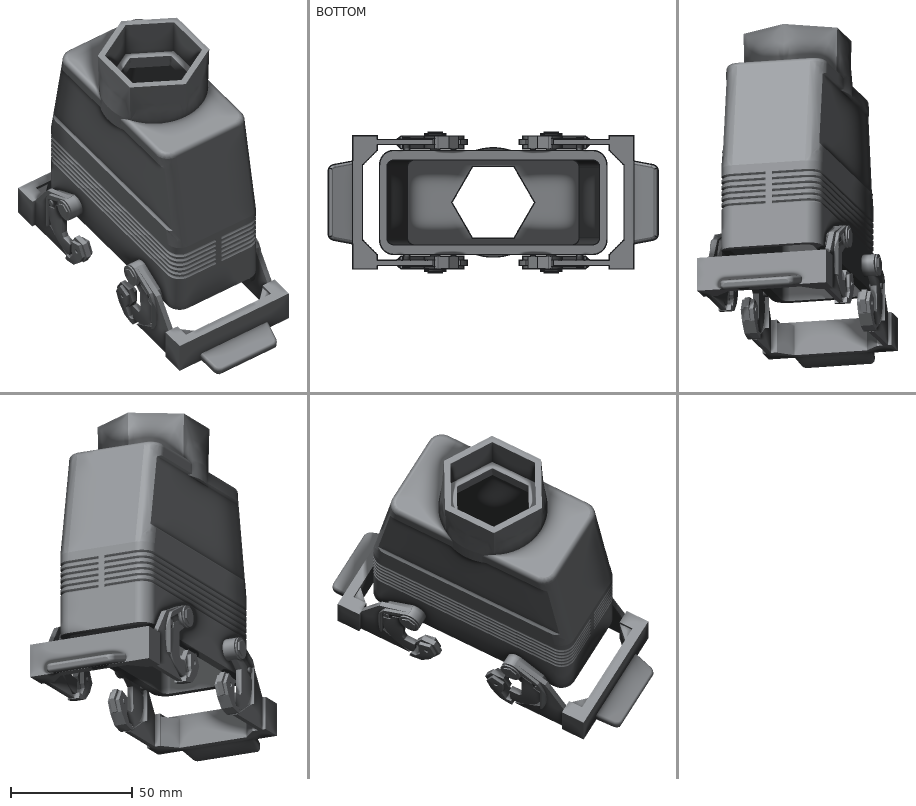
import math

import cadquery as cq


HOOD_LENGTH = 93.8
HOOD_TOP_LENGTH = 76.8
HOOD_WIDTH = 43.0
HOOD_CORNER_R = 6.0
TAPER_START_Z = 35.0
HOOD_TOP_Z = 81.2
HOOD_TOP_FILLET = 2.2
WALL = 3.0

PANEL_DEPTH = 1.0
PANEL_BOTTOM_Z = 43.3
PANEL_TOP_Z = 74.1

GROOVE_COUNT = 6
GROOVE_PITCH = 2.5
GROOVE_WIDTH = 1.45
GROOVE_DEPTH = 0.7
FIRST_GROOVE_Z = 18.1
GROOVE_GAP = 2.8

ENTRY_TOP_Z = 100.2
ENTRY_HEX_FLATS = 40.0
ENTRY_BASE_R = 22.6
SOCKET_FLATS = 34.8
SOCKET_DEPTH = 16.4
PASSAGE_FLATS = 29.5

BOW_OUTER_X = 58.0
BOW_INNER_X = 47.8
BOW_HALF_WIDTH = 27.5
BOW_ARM = 6.1
BOW_WEB = 4.1
BOW_TOP_Z = -6.5
LEVER_BOTTOM_Z = -20.5
GUSSET = 6.0
GUSSET_DROP = 1.3

GRIP_TIP_X = 68.12
GRIP_BOTTOM_Z = -22.85
GRIP_TILT = math.radians(16)
GRIP_THICKNESS = 3.6
GRIP_EDGE_R = 1.2
GRIP_ROOT_HALF_WIDTH = 17.1
GRIP_TIP_HALF_WIDTH = 15.2
GRIP_CORNER_R = 3.0

PLATE_Y = (23.8, 26.0)
HOOK_Y = (22.1, 27.4)
HOOK_BODY_Y = (PLATE_Y[0], 26.4)
PLATE_LAP = 1.0
PLATE_OUTLINE = [
    (-BOW_INNER_X - PLATE_LAP, LEVER_BOTTOM_Z),
    (-BOW_INNER_X - PLATE_LAP, BOW_TOP_Z),
    (-BOW_INNER_X, BOW_TOP_Z),
    (-40.5, 4.1),
    (-39.0, 6.0),
    (-35.0, 7.6),
    (-25.0, 12.1),
    (-23.9, 7.6),
    (-33.2, -0.1),
    (-37.9, -1.0),
    (-37.9, -12.4),
    (-24.9, LEVER_BOTTOM_Z),
]
RIM_OUTER_END = (-36.3, 6.2)
RIM_OUTER_MID = (-39.7, -2.5)
RIM_OUTER_START = (-38.5, -12.0)
RIM_LOWER_TIP = (-37.5, -12.6)
RIM_INNER_CORNER = (-37.5, 3.2)
RIM_CREST_X = -39.8
RIM_FACE_X = -38.0
RIM_ROOF_TOP = (-25.2, 12.0)
RIM_ROOF_BOTTOM = (-27.5, 8.8)

HOOK_THROAT = [
    (-23.5, 3.0),
    (-28.0, -0.1),
    (-28.2, -9.8),
    (-27.1, -11.6),
    (-22.4, -11.8),
    (-22.9, -18.3),
]
HOOK_BACK_MID = (-34.1, -13.4)
HOOK_BACK_TOP = (-37.4, -1.9)
HOOK_RIVET_POCKET = [(-33.7, -0.1), (-32.8, 2.7), (-28.2, 4.7)]

TAIL_OUTLINE = [
    (-23.6, -18.0),
    (-21.3, -18.2),
    (-19.1, -14.7),
    (-19.8, -12.9),
    (-19.8, -7.6),
    (-14.7, -5.9),
    (-12.1, -10.7),
    (-14.3, -15.3),
    (-18.3, -19.5),
    (-22.7, LEVER_BOTTOM_Z),
    (-24.2, LEVER_BOTTOM_Z),
]

PIVOT = (-23.9, 7.5)
PIVOT_BOSS_R = 4.6
PIVOT_NECK_R = 2.6
PIVOT_HEAD_R = 4.5
PIVOT_HEAD_HEX = 6.8
PIVOT_HEAD_Y = (27.9, 28.5)
PIVOT_END_Y = 29.0
PIVOT_PIN_R = 2.0
RIVET = (-35.7, 1.6)
RIVET_R = 1.3
ROLLER = (-16.4, -10.3)
ROLLER_ACROSS_CORNERS = 11.4
ROLLER_PIN_DIAMETER = 2.0
ROLLER_PIN_RECESS = 0.5
PIN_STANDOUT = 0.4
PIN_EMBED = 0.5

TRIM_REACH = 60.0


def slab(outline, y_range):
    """Extrude an outline drawn in X and Z between two y values."""
    return outline.extrude(y_range[0] - y_range[1]).translate((0, y_range[0], 0))


def xz(point=(0, 0)):
    """Sketch plane in X and Z with its origin at the given point."""
    return cq.Workplane("XZ").center(*point)


def disc(point, radius, y_range):
    return slab(xz(point).circle(radius), y_range)


def across_corners(across_flats):
    return across_flats / math.cos(math.pi / 6)


def hex_prism(across_flats, bottom_z, top_z):
    outline = cq.Workplane().workplane(offset=bottom_z).polygon(6, across_corners(across_flats))
    return outline.extrude(top_z - bottom_z)


def rounded_rect(z, length, width, radius):
    outline = cq.Sketch().rect(length, width).vertices().fillet(radius)
    return outline.moved(cq.Location(cq.Vector(0, 0, z)))


def ruled_loft(*sections):
    """Ruled solid through (z, length, width, corner radius) rectangles."""
    sketches = [rounded_rect(*section) for section in sections]
    return cq.Workplane().placeSketch(*sketches).loft(ruled=True)


def hood_shell():
    body = ruled_loft(
        (0, HOOD_LENGTH, HOOD_WIDTH, HOOD_CORNER_R),
        (TAPER_START_Z, HOOD_LENGTH, HOOD_WIDTH, HOOD_CORNER_R),
        (HOOD_TOP_Z, HOOD_TOP_LENGTH, HOOD_WIDTH, HOOD_CORNER_R),
    )
    return body.faces(">Z").edges().fillet(HOOD_TOP_FILLET)


def hood_cavity():
    inner_width = HOOD_WIDTH - 2 * (WALL + PANEL_DEPTH)
    inner_r = HOOD_CORNER_R - WALL
    return ruled_loft(
        (0, HOOD_LENGTH - 2 * WALL, inner_width, inner_r),
        (TAPER_START_Z, HOOD_LENGTH - 2 * WALL, inner_width, inner_r),
        (HOOD_TOP_Z - WALL, HOOD_TOP_LENGTH - 2 * WALL, inner_width, inner_r),
    )


def side_panel():
    """Cutter for the recess on the -Y side; both of its ledges slope at 45 degrees."""
    outer_y = -HOOD_WIDTH / 2
    floor_y = outer_y + PANEL_DEPTH
    outline = [
        (floor_y, PANEL_BOTTOM_Z),
        (outer_y, PANEL_BOTTOM_Z - PANEL_DEPTH),
        (outer_y, PANEL_TOP_Z + PANEL_DEPTH),
        (floor_y, PANEL_TOP_Z),
    ]
    return cq.Workplane("YZ").polyline(outline).close().extrude(HOOD_LENGTH / 2, both=True)


def grip_groove(middle_z):
    """V-groove cutter around the hood, interrupted in the middle of each end."""
    low_z = middle_z - GROOVE_WIDTH / 2
    high_z = middle_z + GROOVE_WIDTH / 2
    surface = (HOOD_LENGTH, HOOD_WIDTH, HOOD_CORNER_R)
    root = (HOOD_LENGTH - 2 * GROOVE_DEPTH, HOOD_WIDTH - 2 * GROOVE_DEPTH, HOOD_CORNER_R - GROOVE_DEPTH)
    kept_core = ruled_loft((low_z, *surface), (middle_z, *root), (high_z, *surface))
    gap = cq.Workplane().box(HOOD_LENGTH, GROOVE_GAP, GROOVE_WIDTH).translate((0, 0, middle_z))
    band = ruled_loft((low_z, *surface), (high_z, *surface))
    return band.cut(kept_core).cut(gap)


def cable_entry():
    """Hexagonal collar blending into a round foot, which runs down to the side panels."""
    collar = (
        cq.Workplane()
        .workplane(offset=HOOD_TOP_Z)
        .circle(ENTRY_BASE_R)
        .workplane(offset=ENTRY_TOP_Z - HOOD_TOP_Z)
        .polygon(6, across_corners(ENTRY_HEX_FLATS))
        .loft(ruled=True)
    )
    foot = cq.Workplane().workplane(offset=PANEL_TOP_Z).circle(ENTRY_BASE_R).extrude(HOOD_TOP_Z - PANEL_TOP_Z)
    return collar.union(foot)


def make_hood():
    hood = hood_shell()
    panel = side_panel()
    hood = hood.cut(panel).cut(panel.mirror("XZ"))
    for index in range(GROOVE_COUNT):
        hood = hood.cut(grip_groove(FIRST_GROOVE_Z + index * GROOVE_PITCH))
    hood = hood.union(cable_entry()).cut(hood_cavity())
    socket = hex_prism(SOCKET_FLATS, ENTRY_TOP_Z - SOCKET_DEPTH, ENTRY_TOP_Z)
    passage = hex_prism(PASSAGE_FLATS, HOOD_TOP_Z - 2 * WALL, ENTRY_TOP_Z)
    return hood.cut(socket).cut(passage)


def lever_bow():
    """U-shaped bow on the -X side with a gusset in each inner corner."""
    web_x = -BOW_OUTER_X + BOW_WEB
    arm_y = BOW_HALF_WIDTH - BOW_ARM
    outline = [
        (-BOW_INNER_X, BOW_HALF_WIDTH),
        (-BOW_OUTER_X, BOW_HALF_WIDTH),
        (-BOW_OUTER_X, -BOW_HALF_WIDTH),
        (-BOW_INNER_X, -BOW_HALF_WIDTH),
        (-BOW_INNER_X, -arm_y),
        (web_x, -arm_y),
        (web_x, arm_y),
        (-BOW_INNER_X, arm_y),
    ]
    base = cq.Workplane().workplane(offset=LEVER_BOTTOM_Z)
    bow = base.polyline(outline).close().extrude(BOW_TOP_Z - LEVER_BOTTOM_Z)
    corner = [(web_x, arm_y), (web_x + GUSSET, arm_y), (web_x, arm_y - GUSSET)]
    gusset = base.polyline(corner).close().extrude(BOW_TOP_Z - GUSSET_DROP - LEVER_BOTTOM_Z)
    return bow.union(gusset).union(gusset.mirror("XZ"))


def lever_grip():
    """Tilted finger grip; the rounded tip edges touch x = -GRIP_TIP_X and z = GRIP_BOTTOM_Z."""
    along = (-math.cos(GRIP_TILT), -math.sin(GRIP_TILT))
    down = (math.sin(GRIP_TILT), -math.cos(GRIP_TILT))
    core = GRIP_THICKNESS - 2 * GRIP_EDGE_R
    lower_centre_z = GRIP_BOTTOM_Z + GRIP_EDGE_R
    upper_centre = (-GRIP_TIP_X + GRIP_EDGE_R, lower_centre_z - core * down[1])
    tip_top = tuple(c + GRIP_EDGE_R * (a - d) for c, a, d in zip(upper_centre, along, down))
    tip_bottom = tuple(t + GRIP_THICKNESS * d for t, d in zip(tip_top, down))
    root_x = -BOW_OUTER_X + BOW_WEB / 2
    root_top = (root_x, tip_top[1] + (root_x - tip_top[0]) * math.tan(GRIP_TILT))
    root_bottom = (root_x, tip_bottom[1] + (root_x - tip_bottom[0]) * math.tan(GRIP_TILT))
    profile = xz().polyline([root_top, tip_top, tip_bottom, root_bottom]).close()
    blade = profile.extrude(GRIP_ROOT_HALF_WIDTH, both=True)
    plan_outline = [
        (-BOW_INNER_X, GRIP_ROOT_HALF_WIDTH),
        (-BOW_OUTER_X, GRIP_ROOT_HALF_WIDTH),
        (-GRIP_TIP_X, GRIP_TIP_HALF_WIDTH),
        (-GRIP_TIP_X, -GRIP_TIP_HALF_WIDTH),
        (-BOW_OUTER_X, -GRIP_ROOT_HALF_WIDTH),
        (-BOW_INNER_X, -GRIP_ROOT_HALF_WIDTH),
    ]
    plan = cq.Workplane().polyline(plan_outline).close().extrude(TRIM_REACH, both=True)
    plan = plan.edges("|Z and <X").fillet(GRIP_CORNER_R)
    blade = blade.intersect(plan)
    broad_face = cq.Vector(-down[0], 0, -down[1])
    return blade.faces(cq.selectors.ParallelDirSelector(broad_face)).edges().fillet(GRIP_EDGE_R)


def hook_body():
    """C-shaped hook arm hanging from the pivot, with a pocket beside the rivet."""
    outline = xz().polyline([PIVOT] + HOOK_THROAT).threePointArc(HOOK_BACK_MID, HOOK_BACK_TOP)
    for point in HOOK_RIVET_POCKET:
        outline = outline.lineTo(*point)
    return slab(outline.close(), HOOK_BODY_Y)


def hook_rim():
    """Rim standing proud of the plate, following the back of the hook; bevelled toward its crest."""
    outline = (
        xz()
        .moveTo(*RIM_LOWER_TIP)
        .lineTo(*RIM_OUTER_START)
        .threePointArc(RIM_OUTER_MID, RIM_OUTER_END)
        .lineTo(*RIM_ROOF_TOP)
        .lineTo(*PIVOT)
        .lineTo(*RIM_ROOF_BOTTOM)
        .lineTo(*RIM_INNER_CORNER)
        .close()
    )
    wedge_outline = [
        (PIVOT[0], HOOK_Y[0]),
        (RIM_FACE_X, HOOK_Y[0]),
        (RIM_CREST_X, PLATE_Y[0]),
        (RIM_CREST_X, PLATE_Y[1]),
        (RIM_FACE_X, HOOK_Y[1]),
        (PIVOT[0], HOOK_Y[1]),
    ]
    wedge = cq.Workplane().polyline(wedge_outline).close().extrude(TRIM_REACH, both=True)
    return slab(outline, HOOK_Y).intersect(wedge)


def roller_tail():
    """Curled hook end: two cheeks holding a six-sided roller on a pin."""
    tail = slab(xz().polyline(TAIL_OUTLINE).close(), HOOK_Y)
    roller = slab(xz(ROLLER).polygon(6, ROLLER_ACROSS_CORNERS), PLATE_Y)
    pin_r = ROLLER_PIN_DIAMETER / 2
    pin_end = disc(ROLLER, pin_r, (HOOK_Y[0] - PIN_STANDOUT, PLATE_Y[1]))
    recess = disc(ROLLER, pin_r, (HOOK_Y[1] - ROLLER_PIN_RECESS, HOOK_Y[1]))
    return tail.union(roller).union(pin_end).cut(recess)


def pivot_pin():
    """Pivot boss with an outer head; its inner end is set into the hood wall."""
    wall_y = HOOD_WIDTH / 2 - PIN_EMBED
    boss = disc(PIVOT, PIVOT_BOSS_R, HOOK_Y)
    pin = disc(PIVOT, PIVOT_PIN_R, (wall_y, HOOK_Y[1]))
    neck = disc(PIVOT, PIVOT_NECK_R, (HOOK_Y[1], PIVOT_HEAD_Y[0]))
    head = disc(PIVOT, PIVOT_HEAD_R, PIVOT_HEAD_Y)
    cap_outline = xz(PIVOT).transformed(rotate=(0, 0, 30)).polygon(6, PIVOT_HEAD_HEX)
    cap = slab(cap_outline, (PIVOT_HEAD_Y[1], PIVOT_END_Y))
    return boss.union(pin).union(neck).union(head).union(cap)


def latch():
    """Side plate, hook and pins at the -X, +Y corner."""
    plate = slab(xz().polyline(PLATE_OUTLINE).close(), PLATE_Y)
    rivet = disc(RIVET, RIVET_R, (HOOD_WIDTH / 2 - PIN_EMBED, HOOK_BODY_Y[1] + PIN_STANDOUT))
    return plate.union(hook_rim()).union(hook_body()).union(roller_tail()).union(pivot_pin()).union(rivet)


def lever():
    side = latch()
    return lever_bow().union(lever_grip()).union(side).union(side.mirror("XZ"))


left_lever = lever()
result = make_hood().union(left_lever).union(left_lever.mirror("YZ"))